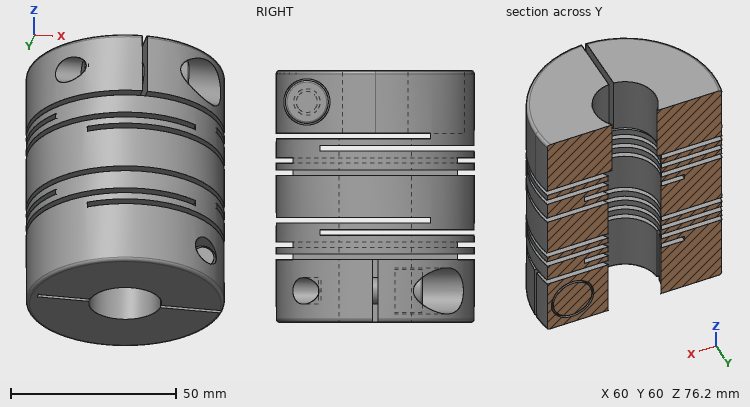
import cadquery as cq


body_diameter = 60.0
body_length = 76.2
rim_fillet = 1.0
top_bore_diameter = 20.0
lower_bore_diameter = 22.0

hub_length = 19.0
slit_width = 1.6
slit_blind_reach = 27.0

slot_width = 1.6
slot_pitch = 3.7
web_offset = 16.7
slot_angles = (0, 180, -90, 90)
slot_group_length = (len(slot_angles) - 1) * slot_pitch + slot_width

screw_offset = 20.7
screw_diameter = 8.0
screw_tip_chamfer = 0.8
screw_tip_position = -17.2
head_seat_position = 6.0
head_end_position = 14.3
head_diameter = 13.0
head_fillet = 0.5
counterbore_diameter = 14.0

body_radius = body_diameter / 2
overcut = 1.0
top_hub_floor = body_length - hub_length


def cylinder_along_x(diameter, start, end, height):
    """Cylinder on the screw axis of a hub that opens towards -Y."""
    return (
        cq.Workplane("YZ", origin=(start, -screw_offset, height))
        .circle(diameter / 2)
        .extrude(end - start)
    )


def make_body():
    body = cq.Workplane("XY").circle(body_radius).extrude(body_length)
    body = body.edges("%CIRCLE").fillet(rim_fillet)
    top_bore = (
        cq.Workplane("XY", origin=(0, 0, top_hub_floor))
        .circle(top_bore_diameter / 2)
        .extrude(hub_length)
    )
    lower_bore = cq.Workplane("XY").circle(lower_bore_diameter / 2).extrude(top_hub_floor)
    return body.cut(top_bore).cut(lower_bore)


def flexure_slot(top, angle):
    """Slot open towards -Y, turned about Z by angle, with its web on the opposite side."""
    open_reach = body_radius + overcut
    slot = cq.Workplane("XY").box(
        2 * open_reach, open_reach + web_offset, slot_width, centered=(True, False, False)
    )
    slot = slot.translate((0, -open_reach, top - slot_width))
    return slot.rotate((0, 0, 0), (0, 0, 1), angle)


def hub_cuts(floor):
    """Slit open towards -Y, screw hole and counterbore of a hub standing on floor."""
    open_reach = body_radius + overcut
    slit = cq.Workplane("XY").box(
        slit_width, open_reach + slit_blind_reach, hub_length, centered=(True, False, False)
    )
    slit = slit.translate((0, -open_reach, floor))
    height = floor + hub_length / 2
    hole = cylinder_along_x(screw_diameter, -body_radius, head_seat_position, height)
    counterbore = cylinder_along_x(counterbore_diameter, head_seat_position, body_radius, height)
    return slit.union(hole).union(counterbore)


def clamp_screw(floor):
    height = floor + hub_length / 2
    shank = cylinder_along_x(screw_diameter, screw_tip_position, head_seat_position, height)
    shank = shank.faces("<X").chamfer(screw_tip_chamfer)
    head = cylinder_along_x(head_diameter, head_seat_position, head_end_position, height)
    head = head.faces(">X").edges().fillet(head_fillet)
    return shank.union(head)


def turn_quarter(shape):
    return shape.rotate((0, 0, 0), (0, 0, 1), 90)


result = make_body()

for group_top in (top_hub_floor, hub_length + slot_group_length):
    for index, angle in enumerate(slot_angles):
        result = result.cut(flexure_slot(group_top - index * slot_pitch, angle))

result = result.cut(hub_cuts(top_hub_floor)).cut(turn_quarter(hub_cuts(0)))
result = result.union(clamp_screw(top_hub_floor)).union(turn_quarter(clamp_screw(0)))